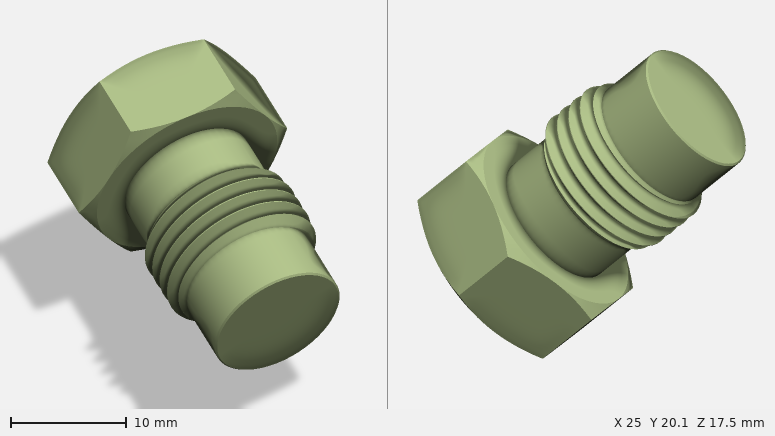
import cadquery as cq
import math

length = 25.02

head_length = 7.58
across_flats = 17.45
across_corners = across_flats / math.cos(math.radians(30))
head_chamfer_angle = 30.0

shank_radius = 6.03
tip_chamfer = 0.15

thread_start = 12.3
thread_end = 19.42
thread_radius = 7.1
turn_count = 6
turns_length = 8.48
thread_pitch = turns_length / turn_count
flank_angle = 30.0
crest_flat = 0.08
bottom_crest = 13.95
root_overlap = 0.05
crest_clearance = 0.25


def make_head():
    """Hexagonal prism with its corners turned down by a cone at both ends."""
    hexagon = cq.Workplane("YZ").polygon(6, across_corners).extrude(head_length)
    face_radius = across_flats / 2
    corner_radius = across_corners / 2
    setback = (corner_radius - face_radius) * math.tan(math.radians(head_chamfer_angle))
    turned_blank = (
        cq.Workplane("XY")
        .moveTo(0, 0)
        .lineTo(0, face_radius)
        .lineTo(setback, corner_radius)
        .lineTo(head_length - setback, corner_radius)
        .lineTo(head_length, face_radius)
        .lineTo(head_length, 0)
        .close()
        .revolve(360, (0, 0, 0), (1, 0, 0))
    )
    return hexagon.intersect(turned_blank)


def make_shank():
    """Plain cylinder from the head face to the chamfered tip."""
    return cq.Workplane("YZ").circle(shank_radius).extrude(length).faces(">X").chamfer(tip_chamfer)


def make_thread(shank):
    """Threaded length of the shank, with its helical ridge trimmed by a barrel with 45 degree ends."""
    turns_before = math.ceil((bottom_crest - thread_start) / thread_pitch) + 1
    ridge_start = bottom_crest - turns_before * thread_pitch
    ridge_length = thread_end + thread_pitch - ridge_start

    root_radius = shank_radius - root_overlap
    half_crest = crest_flat / 2
    half_root = half_crest + (thread_radius - root_radius) * math.tan(math.radians(flank_angle))
    ridge_profile = [
        (root_radius, -half_root),
        (thread_radius, -half_crest),
        (thread_radius, half_crest),
        (root_radius, half_root),
    ]
    helix = cq.Wire.makeHelix(thread_pitch, ridge_length, shank_radius)
    ridge = (
        cq.Workplane("XZ")
        .polyline(ridge_profile)
        .close()
        .sweep(cq.Workplane(obj=helix), isFrenet=True)
        .rotate((0, 0, 0), (0, 1, 0), 90)
        .translate((ridge_start, 0, 0))
    )

    barrel_radius = thread_radius + crest_clearance
    end_taper = barrel_radius - root_radius
    barrel_start = thread_start - root_overlap
    barrel_end = thread_end + root_overlap
    barrel = (
        cq.Workplane("XY")
        .moveTo(barrel_start, 0)
        .lineTo(barrel_start, root_radius)
        .lineTo(barrel_start + end_taper, barrel_radius)
        .lineTo(barrel_end - end_taper, barrel_radius)
        .lineTo(barrel_end, root_radius)
        .lineTo(barrel_end, 0)
        .close()
        .revolve(360, (0, 0, 0), (1, 0, 0))
    )
    return shank.union(ridge).intersect(barrel)


shank = make_shank()
result = make_head().union(shank).union(make_thread(shank))